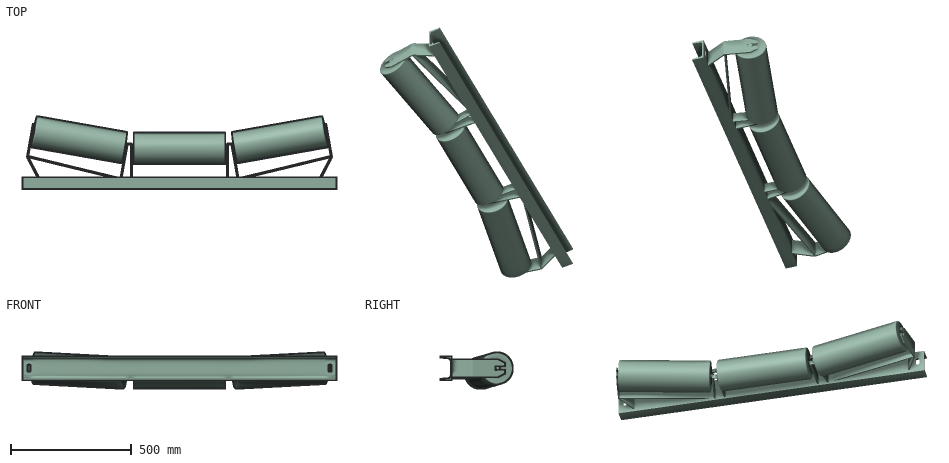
import cadquery as cq
import math


beam_length = 1300.0
beam_height = 100.0
beam_depth = 50.0
web_thickness = 6.0
flange_tip_thickness = 6.0
flange_root_thickness = 10.0
root_radius = 8.5
toe_radius = 4.5
mount_slot_width = 15.0
mount_slot_height = 31.0
mount_slot_inset = 27.0

roller_length = 380.0
roller_diameter = 133.0
roller_edge_radius = 4.0
shaft_diameter = 20.0
shaft_flat_width = 15.0
center_roller_y = 168.0
center_roller_z = -20.0
wing_roller_x = 415.0
wing_roller_y = 204.0
wing_yaw = 10.0
wing_tilt = 3.0
wing_roller_z = center_roller_z + roller_length / 2 * math.sin(math.radians(wing_tilt))

plate_thickness = 6.0
outer_plate_height = 75.0
roller_gap = 5.0
outer_bracket_top_y = 269.0
outer_elbow_y = 133.0
outer_foot_x = 585.0
elbow_radius = 8.3
tip_flat_height = 44.0
tip_taper_length = 30.0
inner_bracket_top_y = 190.0
inner_bend_radius = 3.0
inner_bracket_height = 47.0
strut_foot_x = 275.0
strut_angle = 13.6

tolerance = 0.1

half_plate = plate_thickness / 2
shaft_reach = roller_length / 2 + roller_gap + plate_thickness
plate_reach = roller_length / 2 + roller_gap + half_plate
buried_y = beam_depth - plate_thickness
wing_slope = math.tan(math.radians(wing_yaw))


def centered_bar(section, length):
    """Extrude a YZ section along X so that the bar is centred on X = 0."""
    return section.extrude(length).translate((-length / 2, 0, 0))


def on_side(body, side):
    """The body as modelled on the +X side, or its mirror image for side -1."""
    return body if side > 0 else body.mirror("YZ")


def place_wing(body):
    """Move a body from the frame of a roller along X to the +X wing roller's position."""
    tilted = body.rotate((0, 0, 0), (0, 1, 0), -wing_tilt)
    turned = tilted.rotate((0, 0, 0), (0, 0, 1), wing_yaw)
    return turned.translate((wing_roller_x, wing_roller_y, wing_roller_z))


def place_center(body):
    """Move a body from the frame of a roller along X to the center roller's position."""
    return body.translate((0, center_roller_y, center_roller_z))


def wing_plate_x(end, y):
    """X at height y of the mid plane of the plate across a wing roller's outer (1) or inner (-1) end."""
    yaw = math.radians(wing_yaw)
    middle_x = wing_roller_x + end * plate_reach * math.cos(yaw)
    middle_y = wing_roller_y + end * plate_reach * math.sin(yaw)
    return middle_x - (y - middle_y) * wing_slope


def folded_plate(path, height, bend_radius=0.0):
    """Plate whose mid line follows path in XY, centred on Z = 0; bend_radius is inside each fold."""
    normals = []
    for (x0, y0), (x1, y1) in zip(path, path[1:]):
        length = math.hypot(x1 - x0, y1 - y0)
        normals.append(((y0 - y1) / length, (x1 - x0) / length))
    left = []
    right = []
    for (x, y), (ax, ay), (bx, by) in zip(path, normals[:1] + normals, normals + normals[-1:]):
        miter = half_plate / (1 + ax * bx + ay * by)
        dx = (ax + bx) * miter
        dy = (ay + by) * miter
        left.append((x + dx, y + dy))
        right.append((x - dx, y - dy))
    plate = cq.Workplane("XY").polyline(left + right[::-1]).close().extrude(height)
    plate = plate.translate((0, 0, -height / 2))

    for i in range(1, len(path) - 1):
        (ax, ay), (bx, by) = normals[i - 1], normals[i]
        turns_left = ax * by - ay * bx > 0
        inner, outer = (left[i], right[i]) if turns_left else (right[i], left[i])
        plate = round_corner(plate, inner, bend_radius)
        plate = round_corner(plate, outer, bend_radius + plate_thickness)
    return plate


def round_corner(plate, corner, radius):
    """Fillet the vertical edge of a plate that stands at corner in XY."""
    x, y = corner
    edges = plate.edges("|Z").filter(
        lambda edge: math.hypot(edge.Center().x - x, edge.Center().y - y) < tolerance
    )
    return edges.fillet(radius)


def trim_to_beam(plate):
    """Remove everything on the -Y side of the beam's back face."""
    cutter = cq.Workplane("XY").box(2 * beam_length, beam_depth, 2 * beam_height)
    return plate.cut(cutter.translate((0, beam_depth / 2, 0)))


def make_beam():
    """Channel with tapered flanges and an upright mounting slot near each end of its web."""
    half_height = beam_height / 2
    web_face = beam_depth - web_thickness
    upper = [
        (web_face, half_height - flange_root_thickness),
        (0, half_height - flange_tip_thickness),
        (0, half_height),
        (beam_depth, half_height),
    ]
    lower = [(y, -z) for y, z in reversed(upper)]
    beam = centered_bar(cq.Workplane("YZ").polyline(upper + lower).close(), beam_length)
    beam = (
        beam.edges("|X")
        .filter(lambda edge: abs(edge.Center().y - web_face) < tolerance)
        .fillet(root_radius)
    )
    inside = half_height - flange_tip_thickness / 2
    beam = (
        beam.edges("|X")
        .filter(lambda edge: abs(edge.Center().y) < tolerance and abs(edge.Center().z) < inside)
        .fillet(toe_radius)
    )
    slot_x = beam_length / 2 - mount_slot_inset
    slots = (
        cq.Workplane("XZ")
        .pushPoints([(-slot_x, 0), (slot_x, 0)])
        .slot2D(mount_slot_height, mount_slot_width, 90)
        .extrude(-beam_depth)
    )
    return beam.cut(slots)


def make_roller():
    """Roller along X, centred on the origin, with a flatted shaft end at each side."""
    shell = centered_bar(cq.Workplane("YZ").circle(roller_diameter / 2), roller_length)
    shell = shell.edges().fillet(roller_edge_radius)
    shaft = centered_bar(cq.Workplane("YZ").circle(shaft_diameter / 2), 2 * shaft_reach)
    flats = cq.Workplane("XY").box(2 * shaft_reach, shaft_diameter, shaft_flat_width)
    return shell.union(shaft.intersect(flats))


def shaft_slot(end):
    """Cutter, in the frame of a roller, for the open slot under its inner (-1) or outer (1) shaft end."""
    length = roller_gap + 2 * plate_thickness
    depth = roller_diameter
    slot = cq.Workplane("XY").box(length, depth, shaft_flat_width)
    return slot.translate((end * plate_reach, (depth - shaft_diameter) / 2, 0))


def outer_bracket_path():
    """Mid line of the +X outer bracket from its top down to a point inside the beam's web."""
    elbow_x = wing_plate_x(1, outer_elbow_y)
    leg_slope = (elbow_x - outer_foot_x) / (outer_elbow_y - beam_depth)
    buried_x = outer_foot_x - plate_thickness * leg_slope
    return [
        (wing_plate_x(1, outer_bracket_top_y), outer_bracket_top_y),
        (elbow_x, outer_elbow_y),
        (buried_x, buried_y),
    ]


def make_outer_bracket():
    """Plate bent at an elbow, with a tapered tip and a slot for the wing roller's outer shaft end."""
    bracket = folded_plate(outer_bracket_path(), outer_plate_height, elbow_radius)
    half_height = outer_plate_height / 2
    taper_y = outer_bracket_top_y - tip_taper_length
    for z_sign in (-1, 1):
        corner = (
            cq.Workplane("YZ")
            .polyline([
                (taper_y, z_sign * half_height),
                (outer_bracket_top_y, z_sign * tip_flat_height / 2),
                (outer_bracket_top_y + plate_thickness, z_sign * tip_flat_height / 2),
                (outer_bracket_top_y + plate_thickness, z_sign * half_height),
            ])
            .close()
            .extrude(beam_length / 2)
        )
        bracket = bracket.cut(corner)
    bracket = bracket.cut(place_wing(shaft_slot(1)))
    return trim_to_beam(bracket)


def make_inner_bracket():
    """Inverted U: an upright leg at the center roller and a leaning leg at the wing roller."""
    bridge_y = inner_bracket_top_y - half_plate
    path = [
        (plate_reach, buried_y),
        (plate_reach, bridge_y),
        (wing_plate_x(-1, bridge_y), bridge_y),
        (wing_plate_x(-1, buried_y), buried_y),
    ]
    bracket = folded_plate(path, inner_bracket_height, inner_bend_radius)
    bracket = bracket.translate((0, 0, center_roller_z))
    bracket = bracket.cut(place_center(shaft_slot(1)))
    bracket = bracket.cut(place_wing(shaft_slot(-1)))
    return trim_to_beam(bracket)


def make_strut():
    """Sloping plate from the beam up to the inside of the outer bracket near its elbow."""
    slope = math.tan(math.radians(strut_angle))
    buried_x = strut_foot_x - (beam_depth - buried_y) / slope
    end_x = wing_plate_x(1, outer_elbow_y)
    end_y = beam_depth + (end_x - strut_foot_x) * slope
    strut = folded_plate([(buried_x, buried_y), (end_x, end_y)], outer_plate_height)
    bracket_space = folded_plate(outer_bracket_path(), outer_plate_height, elbow_radius)
    strut = strut.cut(bracket_space)
    return trim_to_beam(strut)


beam = make_beam()
center_roller = place_center(make_roller())
bodies = [beam.val(), center_roller.val()]
for side in (-1, 1):
    wing_roller = on_side(place_wing(make_roller()), side)
    outer_bracket = on_side(make_outer_bracket(), side)
    inner_bracket = on_side(make_inner_bracket(), side)
    strut = on_side(make_strut(), side)
    bodies += [wing_roller.val(), outer_bracket.val(), inner_bracket.val(), strut.val()]

result = cq.Compound.makeCompound(bodies)